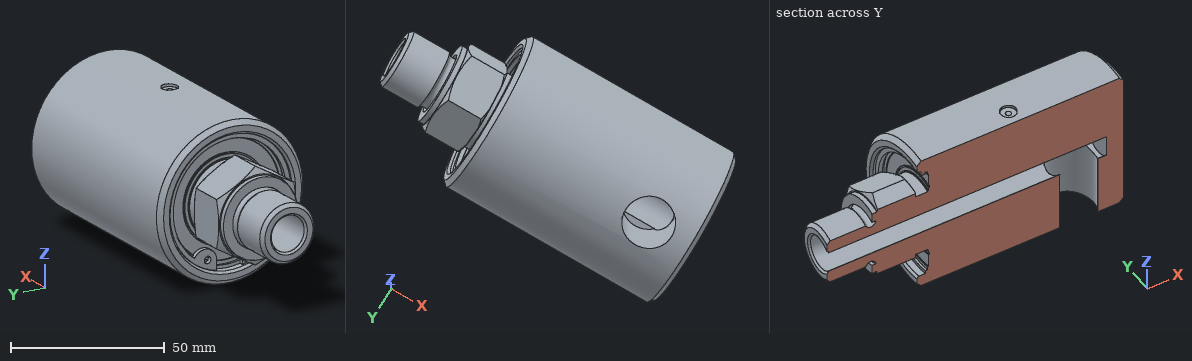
import cadquery as cq
import math

total_length = 113.4
body_start = 34.2
body_diameter = 56.6
body_chamfer = 1.7

nipple_diameter = 21.0
nipple_chamfer = 1.2
nipple_end = 14.7
relief_chamfer = 0.7
relief_radius = 1.9

collar_start = 17.2
collar_diameter = 28.6
collar_recess_diameter = 21.4
hex_start = 19.0
hex_end = 33.9
hex_across_flats = 29.8
hex_front_face_diameter = 29.5
hex_back_face_diameter = 30.6
shaft_diameter = 27.8
hex_chamfer_angle = 30.0

recess_diameter = 47.0
recess_mouth_diameter = 48.8
recess_mouth_chamfer = (recess_mouth_diameter - recess_diameter) / 2

ring_start = 35.9
ring_thickness = 1.6
ring_inner_diameter = 43.5
ring_gap_half_width = 5.0
lug_radius = 4.5
lug_center_y = ring_gap_half_width + lug_radius
lug_center_z = -19.3
lug_hole_diameter = 2.5
lug_hole_y = 8.5
lug_hole_z = -18.7

shoulder_start = ring_start + ring_thickness
shoulder_inner_diameter = 44.7
shoulder_depth = 0.9
bearing_start = shoulder_start + shoulder_depth
bearing_mouth_diameter = 42.2
bearing_inner_diameter = 42.0
bearing_mouth_chamfer = (bearing_mouth_diameter - bearing_inner_diameter) / 2
seal_setback = 0.3
seal_start = bearing_start + seal_setback
seal_groove_outer_diameter = 32.1
seal_groove_inner_diameter = 31.0
seal_groove_depth = 0.3
shaft_step_diameter = 28.6
shaft_step_length = 0.3
shaft_step_start = seal_start - shaft_step_length

bore_diameter = 12.7
bore_mouth_diameter = 14.2
bore_mouth_chamfer = (bore_mouth_diameter - bore_diameter) / 2
port_diameter = 17.5
port_x = 96.1
bore_end_margin = 1.7
bore_end = port_x + port_diameter / 2 + bore_end_margin

spot_x = 72.3
spot_diameter = 5.8
spot_depth = 1.0
spot_tip_diameter = 2.0
spot_tip_depth = spot_tip_diameter / 2

body_radius = body_diameter / 2


def cylinder(start, end, diameter):
    """Round bar on the X axis between two X positions."""
    return cq.Workplane("YZ", origin=(start, 0, 0)).circle(diameter / 2).extrude(end - start)


def revolve_about_x(profile):
    """Turn a closed (x, radius) profile about the X axis."""
    return profile.close().revolve(360, (0, 0, 0), (1, 0, 0))


def make_nipple():
    """Nipple whose rounded undercut runs into a shallow recess of the collar face."""
    radius = nipple_diameter / 2
    recess_radius = collar_recess_diameter / 2
    arc_start_x = nipple_end + relief_chamfer
    arc_start_radius = radius - relief_chamfer
    center_x = arc_start_x + relief_radius * math.sin(math.pi / 4)
    center_radius = arc_start_radius + relief_radius * math.cos(math.pi / 4)
    arc_end_x = center_x + math.sqrt(relief_radius**2 - (center_radius - recess_radius) ** 2)
    profile = (
        cq.Workplane("XY")
        .moveTo(0, 0)
        .lineTo(0, radius - nipple_chamfer)
        .lineTo(nipple_chamfer, radius)
        .lineTo(nipple_end, radius)
        .lineTo(arc_start_x, arc_start_radius)
        .threePointArc((center_x, center_radius - relief_radius), (arc_end_x, recess_radius))
        .lineTo(collar_start, recess_radius)
        .lineTo(collar_start, collar_diameter / 2)
        .lineTo(hex_start, collar_diameter / 2)
        .lineTo(hex_start, 0)
    )
    return revolve_about_x(profile)


def make_hexagon():
    """Hexagon with corners up and down, turned to a cone at both ends."""
    corner_radius = hex_across_flats / math.sqrt(3)
    slope = math.tan(math.radians(hex_chamfer_angle))
    front_radius = hex_front_face_diameter / 2
    back_radius = hex_back_face_diameter / 2
    prism = (
        cq.Workplane("YZ", origin=(hex_start, 0, 0))
        .polygon(6, 2 * corner_radius)
        .extrude(hex_end - hex_start)
        .rotate((0, 0, 0), (1, 0, 0), 90)
    )
    envelope = (
        cq.Workplane("XY")
        .moveTo(hex_start, 0)
        .lineTo(hex_start, front_radius)
        .lineTo(hex_start + (corner_radius - front_radius) * slope, corner_radius)
        .lineTo(hex_end - (corner_radius - back_radius) * slope, corner_radius)
        .lineTo(hex_end, back_radius)
        .lineTo(hex_end, 0)
    )
    return prism.intersect(revolve_about_x(envelope))


def make_body():
    """Chamfered barrel with the recess stepping down to the bearing and seal faces in its front end."""
    barrel = cylinder(body_start, total_length, body_diameter).edges().chamfer(body_chamfer)
    recess = (
        cq.Workplane("XY")
        .moveTo(body_start, 0)
        .lineTo(body_start, recess_mouth_diameter / 2)
        .lineTo(body_start + recess_mouth_chamfer, recess_diameter / 2)
        .lineTo(shoulder_start, recess_diameter / 2)
        .lineTo(shoulder_start, shoulder_inner_diameter / 2)
        .lineTo(bearing_start, shoulder_inner_diameter / 2)
        .lineTo(bearing_start, bearing_mouth_diameter / 2)
        .lineTo(bearing_start + bearing_mouth_chamfer, bearing_inner_diameter / 2)
        .lineTo(seal_start, bearing_inner_diameter / 2)
        .lineTo(seal_start, seal_groove_outer_diameter / 2)
        .lineTo(seal_start + seal_groove_depth, seal_groove_outer_diameter / 2)
        .lineTo(seal_start + seal_groove_depth, seal_groove_inner_diameter / 2)
        .lineTo(seal_start, seal_groove_inner_diameter / 2)
        .lineTo(seal_start, 0)
    )
    return barrel.cut(revolve_about_x(recess))


def make_retaining_ring():
    ring_end = ring_start + ring_thickness
    disc = cylinder(ring_start, ring_end, recess_diameter)
    ring = disc.cut(cylinder(ring_start, ring_end, ring_inner_diameter))
    ring_plane = cq.Workplane("YZ", origin=(ring_start, 0, 0))
    gap = (
        ring_plane.center(0, -recess_diameter / 2)
        .rect(2 * ring_gap_half_width, recess_diameter)
        .extrude(ring_thickness)
    )
    ring = ring.cut(gap)
    for side in (-1, 1):
        lug_head = (
            ring_plane.center(side * lug_center_y, lug_center_z)
            .circle(lug_radius)
            .extrude(ring_thickness)
        )
        lug_foot = (
            ring_plane.center(side * lug_center_y, lug_center_z - lug_radius)
            .rect(2 * lug_radius, 2 * lug_radius)
            .extrude(ring_thickness)
        )
        ring = ring.union(lug_head.union(lug_foot).intersect(disc))
        hole = (
            ring_plane.center(side * lug_hole_y, lug_hole_z)
            .circle(lug_hole_diameter / 2)
            .extrude(ring_thickness)
        )
        ring = ring.cut(hole)
    return ring


def make_bore():
    """Blind axial bore with a chamfered mouth."""
    profile = (
        cq.Workplane("XY")
        .moveTo(0, 0)
        .lineTo(0, bore_mouth_diameter / 2)
        .lineTo(bore_mouth_chamfer, bore_diameter / 2)
        .lineTo(bore_end, bore_diameter / 2)
        .lineTo(bore_end, 0)
    )
    return revolve_about_x(profile)


def make_port():
    """Radial port from the underside up to the axis."""
    return (
        cq.Workplane("XY", origin=(port_x, 0, -body_radius))
        .circle(port_diameter / 2)
        .extrude(body_radius)
    )


def make_spot():
    """Flat-bottomed spot with a small conical tip."""
    floor_z = body_radius - spot_depth
    profile = (
        cq.Workplane("XZ", origin=(spot_x, 0, 0))
        .moveTo(0, body_radius)
        .lineTo(spot_diameter / 2, body_radius)
        .lineTo(spot_diameter / 2, floor_z)
        .lineTo(spot_tip_diameter / 2, floor_z)
        .lineTo(0, floor_z - spot_tip_depth)
    )
    return profile.close().revolve(360, (0, 0, 0), (0, 1, 0))


result = (
    make_body()
    .union(make_retaining_ring())
    .union(cylinder(hex_end, seal_start, shaft_diameter))
    .union(cylinder(shaft_step_start, seal_start, shaft_step_diameter))
    .union(make_hexagon())
    .union(make_nipple())
    .cut(make_bore())
    .cut(make_port())
    .cut(make_spot())
)